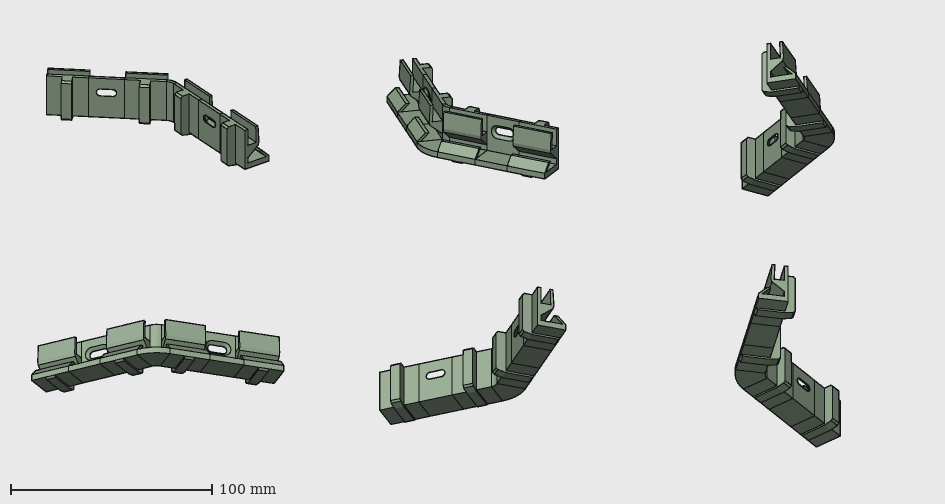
import cadquery as cq
import math


total_length = 114.9
bend_angle = 48.2
corner_radius = 20.0
depth = 14.9
height = 22.1
base_thickness = 3.1
wall_thickness = 2.0
clip_length = 21.0

bend = math.radians(bend_angle)
arm_length = (total_length - corner_radius * math.sin(bend)) / (1 + math.cos(bend))
plate_length = arm_length - 2 * clip_length
wall_depth = depth - wall_thickness

lip_height = 7.4
lip_reach = lip_height - base_thickness
lip_thickness = 1.8

hook_root_height = 6.1
hook_knee_depth = 6.7
hook_knee_height = 11.3
hook_bulge_depth = 6.2
slot_floor_height = 13.1
slot_floor_depth = 7.9
blade_top_depth = 6.8
blade_top_thickness = 1.5

rib_width = 5.2
rib_drop = 1.0
rib_projection = 5.2
rib_chamfer = 1.0
rib_heel_depth = 19.2
rib_heel_height = -0.1
rib_tip_height = 0.9

screw_slot_length = 10.0
screw_slot_width = 3.9
screw_slot_height = 14.0
countersink_depth = 1.6
countersink_angle = 45


def section_points(points):
    """Turn (depth, height) pairs into coordinates of the YZ plane."""
    return [(-point_depth, z) for point_depth, z in points]


def extrude_section(points, start, length):
    """Extrude a closed (depth, height) section along +X from the given start."""
    plane = cq.Workplane("YZ", origin=(start, 0, 0))
    return plane.polyline(section_points(points)).close().extrude(length)


l_section = [
    (0, 0),
    (depth, 0),
    (depth, height),
    (wall_depth, height),
    (wall_depth, base_thickness),
    (0, base_thickness),
]

clip_section = [
    (0, 0),
    (depth, 0),
    (depth, height),
    (wall_depth, height),
    (wall_depth, slot_floor_height),
    (slot_floor_depth, slot_floor_height),
    (blade_top_depth + blade_top_thickness, height),
    (blade_top_depth, height),
    (hook_bulge_depth, slot_floor_height),
    (hook_knee_depth, hook_knee_height),
    (wall_depth, hook_root_height),
    (wall_depth, base_thickness),
    (lip_thickness, base_thickness),
    (lip_thickness + lip_reach, lip_height),
    (lip_reach, lip_height),
    (0, base_thickness),
]

rib_tip_depth = depth + rib_projection
rib_section = [
    (0, 0),
    (rib_drop, -rib_drop),
    (depth, -rib_drop),
    (rib_heel_depth, rib_heel_height),
    (rib_tip_depth, rib_tip_height),
    (rib_tip_depth, height - rib_chamfer),
    (rib_tip_depth - rib_chamfer, height),
    (depth, height),
    (depth, 0),
]


def make_clip(start):
    """Clip of the straight arm along +X, with its rib."""
    rib_start = start + (clip_length - rib_width) / 2
    rib = extrude_section(rib_section, rib_start, rib_width)
    return extrude_section(clip_section, start, clip_length).union(rib)


def make_screw_plate(start):
    """L-shaped plate with a slot through the wall, countersunk on the inner face."""
    plate = extrude_section(l_section, start, plate_length)
    slot_centre = (start + plate_length / 2, -depth, screw_slot_height)
    slot_plane = cq.Workplane("XZ", origin=slot_centre)
    slot = slot_plane.slot2D(screw_slot_length, screw_slot_width).extrude(-wall_thickness)
    land = wall_thickness - countersink_depth
    countersink = (
        slot_plane.workplane(offset=-land)
        .slot2D(screw_slot_length, screw_slot_width)
        .extrude(-countersink_depth, taper=-countersink_angle)
    )
    return plate.cut(slot).cut(countersink)


def make_corner():
    """Plain L section swept around the bend, from the start of the right arm."""
    return (
        cq.Workplane("YZ")
        .polyline(section_points(l_section))
        .close()
        .revolve(bend_angle, (-corner_radius, 0), (-corner_radius, 1))
    )


def to_left_arm(body):
    """Copy a body of the right arm to its mirrored place on the left arm."""
    bend_axis_start = (0, -corner_radius, 0)
    bend_axis_end = (0, -corner_radius, 1)
    return body.mirror("YZ").rotate(bend_axis_start, bend_axis_end, bend_angle)


corner = make_corner()

clips = []
for clip_start in (0, clip_length + plate_length):
    right_clip = make_clip(clip_start)
    clips += [right_clip.val(), to_left_arm(right_clip).val()]

right_plate = make_screw_plate(clip_length)
screw_plates = [right_plate.val(), to_left_arm(right_plate).val()]

result = cq.Compound.makeCompound([corner.val(), *clips, *screw_plates])